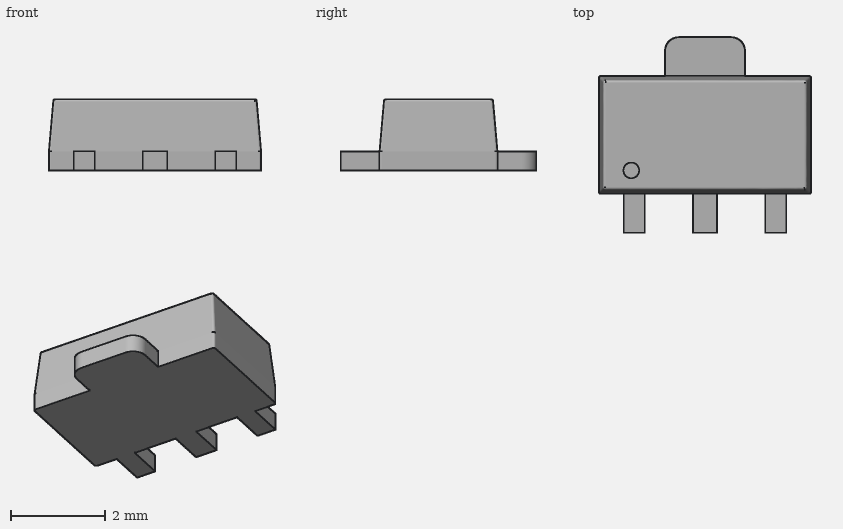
import cadquery as cq
import math

body_length = 4.5
body_width = 2.5
base_height = 0.41
total_height = 1.51
draft_angle = 5.0
edge_radius = 0.05

overall_width = 4.15
lead_thickness = base_height
metal_length = overall_width / 2
lead_pitch = 1.5
outer_lead_width = 0.45
middle_lead_width = 0.515
tab_width = 1.7
tab_corner_radius = 0.3

mark_diameter = 0.335
mark_depth = 0.005
mark_x = -1.56
mark_y = -0.75


def make_body():
    """Base and drafted cap with rounded corners and a rounded top rim."""
    cap_height = total_height - base_height
    inset = cap_height * math.tan(math.radians(draft_angle))
    base = cq.Workplane("XY").box(body_length, body_width, base_height, centered=(True, True, False))
    cap = (
        cq.Workplane("XY")
        .workplane(offset=base_height)
        .rect(body_length, body_width)
        .workplane(offset=cap_height)
        .rect(body_length - 2 * inset, body_width - 2 * inset)
        .loft(ruled=True)
    )
    base = base.edges("|Z").fillet(edge_radius)
    cap = cap.edges("not #Z").fillet(edge_radius)
    cap = cap.faces(">Z").edges().fillet(edge_radius)
    return base.union(cap)


def make_lead(center_x, width):
    """Straight lead running from the middle of the body out of its -Y side."""
    return (
        cq.Workplane("XY")
        .center(center_x, -metal_length / 2)
        .rect(width, metal_length)
        .extrude(lead_thickness)
    )


def make_tab():
    """Wide tab on the +Y side with rounded outer corners."""
    tab = (
        cq.Workplane("XY")
        .center(0, metal_length / 2)
        .rect(tab_width, metal_length)
        .extrude(lead_thickness)
    )
    return tab.edges("|Z and >Y").fillet(tab_corner_radius)


def make_mark():
    """Cutter for the pin-one mark."""
    return (
        cq.Workplane("XY")
        .workplane(offset=total_height - mark_depth)
        .center(mark_x, mark_y)
        .circle(mark_diameter / 2)
        .extrude(mark_depth)
    )


result = make_body().union(make_tab())
for center_x, width in (
    (-lead_pitch, outer_lead_width),
    (0, middle_lead_width),
    (lead_pitch, outer_lead_width),
):
    result = result.union(make_lead(center_x, width))
result = result.cut(make_mark())